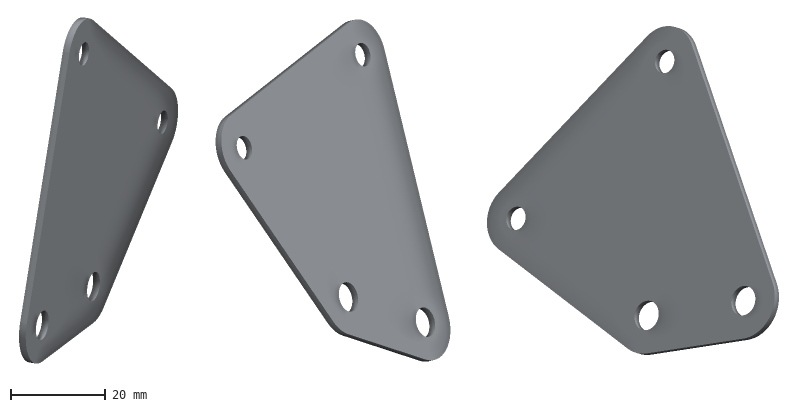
import cadquery as cq
import math

thickness = 1.6
lower_hole_diameter = 6.35
upper_hole_diameter = 5.05
lower_corner_radius = 8.2
upper_corner_radius = 7.6

hole_pitch = 25.4
side_hole_y = 59.65
side_hole_z = hole_pitch
top_hole_y = 20.6
top_hole_z = 54.45

corners = [
    (0, 0, lower_corner_radius, lower_hole_diameter),
    (hole_pitch, 0, lower_corner_radius, lower_hole_diameter),
    (side_hole_y, side_hole_z, upper_corner_radius, upper_hole_diameter),
    (top_hole_y, top_hole_z, upper_corner_radius, upper_hole_diameter),
]


def point_on_corner(corner, angle):
    """Point on the rounded corner in the given outward direction."""
    y, z, radius, _ = corner
    return y + radius * math.cos(angle), z + radius * math.sin(angle)


def edge_normal_angle(start, end):
    """Outward direction of the straight edge tangent to two corners."""
    dy = end[0] - start[0]
    dz = end[1] - start[1]
    radius_drop = start[2] - end[2]
    return math.atan2(dz, dy) - math.acos(radius_drop / math.hypot(dy, dz))


def plate_blank():
    """Plate outline of straight edges joined by tangent corner arcs."""
    count = len(corners)
    normals = [edge_normal_angle(corners[i], corners[(i + 1) % count]) for i in range(count)]
    outline = cq.Workplane("YZ").moveTo(*point_on_corner(corners[0], normals[0]))
    for i in range(count):
        corner = corners[(i + 1) % count]
        arrive = normals[i]
        leave = normals[(i + 1) % count]
        turn = (leave - arrive) % math.tau
        outline = outline.lineTo(*point_on_corner(corner, arrive)).threePointArc(
            point_on_corner(corner, arrive + turn / 2),
            point_on_corner(corner, leave),
        )
    return outline.close().extrude(thickness)


def through_holes():
    """Cutters for the hole at the centre of each rounded corner."""
    cutters = cq.Workplane("YZ")
    for y, z, _, diameter in corners:
        cutter = cq.Workplane("YZ").center(y, z).circle(diameter / 2).extrude(thickness)
        cutters = cutters.add(cutter)
    return cutters.combine()


result = plate_blank().cut(through_holes())